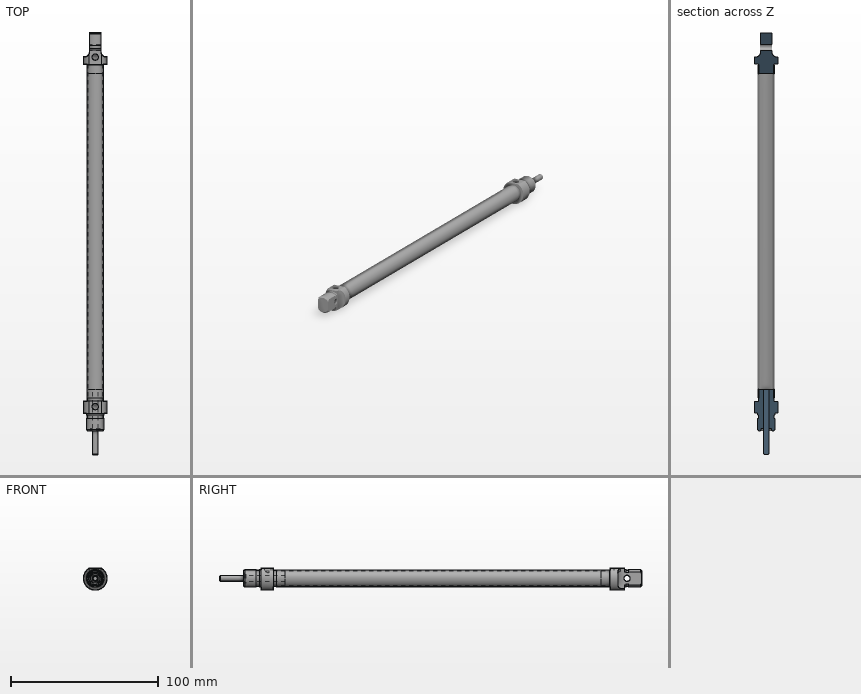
import cadquery as cq

overall_length = 286.0

rod_diameter = 4.0
rod_tip_diameter = 3.0
rod_exposed_length = 16.0

head_diameter = 16.0
port_flat_height = 7.0
thread_diameter = 12.0
undercut_diameter = 11.2
collar_length = 1.1
port_diameter = 4.3
port_depth = 2.0
drill_tip_depth = 1.1
end_chamfer = 1.0
neck_diameter = 11.2
spigot_length = 5.7

nose_length = 8.5
front_head_length = 8.3
front_port_setback = 3.7
front_neck_length = 2.3
front_undercut_length = 2.3
seal_recess_diameter = 6.5
seal_recess_depth = 1.7
seal_mouth_diameter = 8.3

clevis_width = 8.0
clevis_thread_length = 9.0
rear_undercut_length = 1.7
rear_head_length = 9.7
rear_neck_length = 0.5
shoulder_from_end = 16.3
shoulder_fillet = 3.1
pivot_diameter = 4.0
pivot_from_end = 10.0
rear_port_from_end = 16.5

tube_diameter = 11.5
bore_diameter = 10.0

front_end = -overall_length / 2
rear_end = overall_length / 2
nose_front = front_end + rod_exposed_length
nose_back = nose_front + nose_length
front_head_front = nose_back + front_undercut_length + collar_length
front_head_back = front_head_front + front_head_length
tube_front = front_head_back + front_neck_length
clevis_thread_front = rear_end - clevis_thread_length
rear_head_back = clevis_thread_front - rear_undercut_length - collar_length
rear_head_front = rear_head_back - rear_head_length
tube_rear = rear_head_front - rear_neck_length
front_port = front_head_back - front_port_setback
rear_port = rear_end - rear_port_from_end
shoulder = rear_end - shoulder_from_end


def cylinder(diameter, y_start, y_end):
    """Solid cylinder on the Y axis between two stations."""
    plane = cq.Plane(origin=(0, y_start, 0), xDir=(1, 0, 0), normal=(0, 1, 0))
    return cq.Workplane(plane).circle(diameter / 2).extrude(y_end - y_start)


def head(y_start, y_end):
    """Round head with the port flat on its +Z side."""
    flat_cut = cq.Workplane("XY").box(
        head_diameter, y_end - y_start, head_diameter, centered=(True, False, False)
    )
    flat_cut = flat_cut.translate((0, y_start, port_flat_height))
    return cylinder(head_diameter, y_start, y_end).cut(flat_cut)


def port(y_center):
    """Blind port with a drill-point bottom, sunk into the port flat."""
    port_radius = port_diameter / 2
    bottom = port_flat_height - port_depth
    half_section = cq.Workplane("XZ", origin=(0, y_center, 0)).polyline([
        (0, port_flat_height),
        (port_radius, port_flat_height),
        (port_radius, bottom),
        (0, bottom - drill_tip_depth),
    ]).close()
    return half_section.revolve(360, (0, 0, 0), (0, 1, 0))


def make_rod():
    """Piston rod with a chamfered tip, reaching through the front cap."""
    tip_chamfer = (rod_diameter - rod_tip_diameter) / 2
    return cylinder(rod_diameter, front_end, tube_front + spigot_length).faces("<Y").chamfer(tip_chamfer)


def seal_recess():
    """Round recess in the nose face around the rod, with a 45 degree mouth."""
    mouth_radius = seal_mouth_diameter / 2
    recess_radius = seal_recess_diameter / 2
    half_section = cq.Workplane("XY").polyline([
        (0, nose_front),
        (mouth_radius, nose_front),
        (recess_radius, nose_front + mouth_radius - recess_radius),
        (recess_radius, nose_front + seal_recess_depth),
        (0, nose_front + seal_recess_depth),
    ]).close()
    return half_section.revolve(360, (0, 0, 0), (0, 1, 0))


def make_front_cap():
    """Nose, undercut, collar, head, neck and spigot, bored for the rod."""
    cap = cylinder(thread_diameter, nose_front, nose_back).faces("<Y").chamfer(end_chamfer)
    cap = cap.union(cylinder(undercut_diameter, nose_back, front_head_front - collar_length))
    cap = cap.union(cylinder(thread_diameter, front_head_front - collar_length, front_head_front))
    cap = cap.union(head(front_head_front, front_head_back))
    cap = cap.union(cylinder(neck_diameter, front_head_back, tube_front))
    cap = cap.union(cylinder(bore_diameter, tube_front, tube_front + spigot_length))
    cap = cap.cut(cylinder(rod_diameter, nose_front, tube_front + spigot_length))
    cap = cap.cut(seal_recess())
    return cap.cut(port(front_port))


def clevis_side_cut():
    """Material removed beside the +X clevis flat, up to the filleted shoulder."""
    length = rear_end - shoulder
    cut = cq.Workplane("XY").box(head_diameter, length, 2 * head_diameter, centered=(False, False, True))
    cut = cut.translate((clevis_width / 2, shoulder, 0))
    return cut.edges("<X and <Y").fillet(shoulder_fillet)


def make_rear_cap():
    """Flat-sided clevis with a cross hole, then undercut, collar, head, neck and spigot."""
    cap = cylinder(thread_diameter, clevis_thread_front, rear_end).faces(">Y").chamfer(end_chamfer)
    cap = cap.union(cylinder(undercut_diameter, rear_head_back + collar_length, clevis_thread_front))
    cap = cap.union(cylinder(thread_diameter, rear_head_back, rear_head_back + collar_length))
    cap = cap.union(head(rear_head_front, rear_head_back))
    cap = cap.union(cylinder(neck_diameter, tube_rear, rear_head_front))
    cap = cap.union(cylinder(bore_diameter, tube_rear - spigot_length, tube_rear))
    side_cut = clevis_side_cut()
    cap = cap.cut(side_cut).cut(side_cut.mirror("YZ"))
    pivot = cq.Workplane("YZ").center(rear_end - pivot_from_end, 0).circle(pivot_diameter / 2)
    cap = cap.cut(pivot.extrude(clevis_width, both=True))
    return cap.cut(port(rear_port))


def make_tube():
    """Barrel between the two necks, fitting over both spigots."""
    barrel = cylinder(tube_diameter, tube_front, tube_rear)
    return barrel.cut(cylinder(bore_diameter, tube_front, tube_rear))


rod = make_rod()
front_cap = make_front_cap()
rear_cap = make_rear_cap()
tube = make_tube()

result = cq.Compound.makeCompound([rod.val(), front_cap.val(), rear_cap.val(), tube.val()])